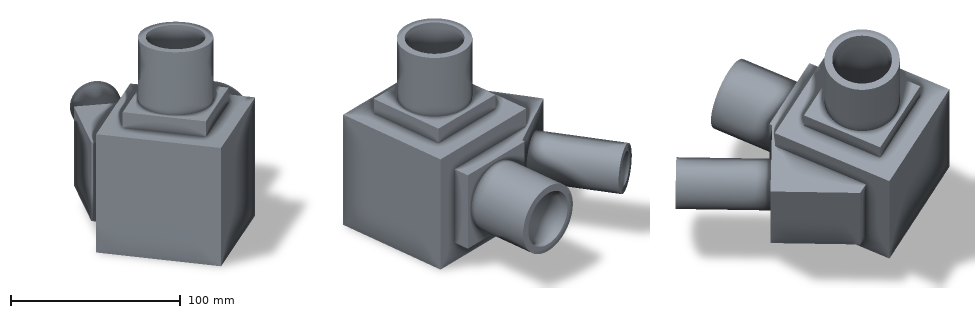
import cadquery as cq
import math

body_side = 76.3
body_half = body_side / 2

flange_side = 50.8
flange_thickness = 10.2
main_outer_diameter = 44.5
main_bore_diameter = 35.2
main_tube_length = 40.6
main_reach = body_half + flange_thickness + main_tube_length

branch_angle = 26.5
branch_outer_diameter = 30.5
branch_bore_diameter = 21.0
branch_end_x = -72.5
branch_end_y = 85.8
branch_bore_depth = 117.8

block_height = flange_side
block_tip_x = -69.0
block_tip_y = 24.9
block_bottom_y = -22.5

tilt = math.radians(branch_angle)
branch_inward = cq.Vector(math.sin(tilt), -math.cos(tilt), 0)
branch_end = cq.Vector(branch_end_x, branch_end_y, 0)
up = cq.Vector(0, 0, 1)
back = cq.Vector(0, 1, 0)
origin = cq.Vector(0, 0, 0)


def cylinder(diameter, length, start, direction):
    return cq.Workplane(cq.Solid.makeCylinder(diameter / 2, length, start, direction))


def main_port(direction):
    """Square flange and round tube, starting at the body centre."""
    plane = cq.Plane(origin=origin, xDir=(1, 0, 0), normal=direction)
    flange = cq.Workplane(plane).rect(flange_side, flange_side).extrude(body_half + flange_thickness)
    return flange.union(cylinder(main_outer_diameter, main_reach, origin, direction))


def branch_block():
    """Prism with one face square to the branch and one parallel to it."""
    inner_x = -flange_side / 2
    inner_y = block_tip_y + (inner_x - block_tip_x) * math.tan(tilt)
    bottom_x = block_tip_x + (block_tip_y - block_bottom_y) * math.tan(tilt)
    outline = [
        (block_tip_x, block_tip_y),
        (inner_x, inner_y),
        (inner_x, block_bottom_y),
        (bottom_x, block_bottom_y),
    ]
    return cq.Workplane("XY").polyline(outline).close().extrude(block_height / 2, both=True)


tip_offset = cq.Vector(block_tip_x, block_tip_y, 0) - branch_end
branch_tube_length = tip_offset.dot(branch_inward)

result = cq.Workplane("XY").box(body_side, body_side, body_side)
for port_direction in (up, back):
    result = result.union(main_port(port_direction))
result = result.union(branch_block())
result = result.union(cylinder(branch_outer_diameter, branch_tube_length, branch_end, branch_inward))

for port_direction in (up, back):
    result = result.cut(cylinder(main_bore_diameter, main_reach, origin, port_direction))
result = result.cut(cylinder(branch_bore_diameter, branch_bore_depth, branch_end, branch_inward))